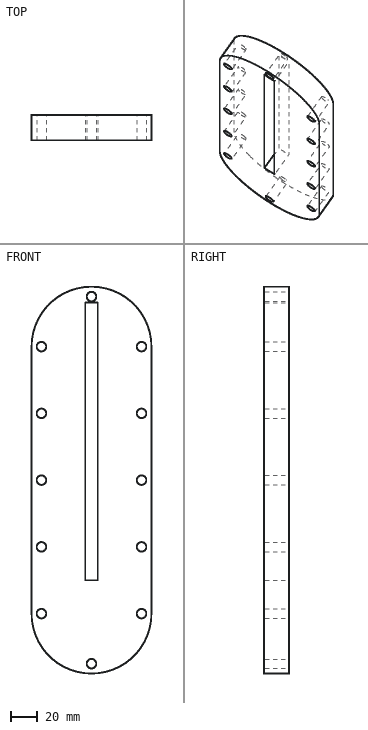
import cadquery as cq

plate_width = 90.0
plate_height = 290.0
plate_thickness = 19.0
end_radius = plate_width / 2
end_center_z = plate_height / 2 - end_radius
upright_angle = 90.0

hole_diameter = 7.0
hole_edge_distance = 7.5
holes_per_side = 5
side_hole_x = plate_width / 2 - hole_edge_distance
end_hole_z = plate_height / 2 - hole_edge_distance
side_hole_pitch = 2 * end_center_z / (holes_per_side - 1)

slot_width = 9.0
slot_top_z = 133.0
slot_bottom_z = -75.0
slot_length = slot_top_z - slot_bottom_z
slot_center_z = (slot_top_z + slot_bottom_z) / 2


def front_sketch():
    """Sketch plane on the front (-Y) face; local x is X, local y is Z."""
    return cq.Workplane("XZ", origin=(0, -plate_thickness / 2, 0))


def through_plate(outline):
    """Extrude an outline on the front face through the full thickness."""
    return outline.extrude(-plate_thickness)


def make_plate():
    return through_plate(front_sketch().slot2D(plate_height, plate_width, upright_angle))


def hole_positions():
    """One hole at each round end, and an evenly spaced row along each straight side."""
    positions = [(0, end_hole_z), (0, -end_hole_z)]
    for row in range(holes_per_side):
        z = -end_center_z + row * side_hole_pitch
        positions += [(-side_hole_x, z), (side_hole_x, z)]
    return positions


def make_holes():
    return through_plate(front_sketch().pushPoints(hole_positions()).circle(hole_diameter / 2))


def make_slot():
    return through_plate(front_sketch().center(0, slot_center_z).rect(slot_width, slot_length))


result = make_plate().cut(make_holes()).cut(make_slot())